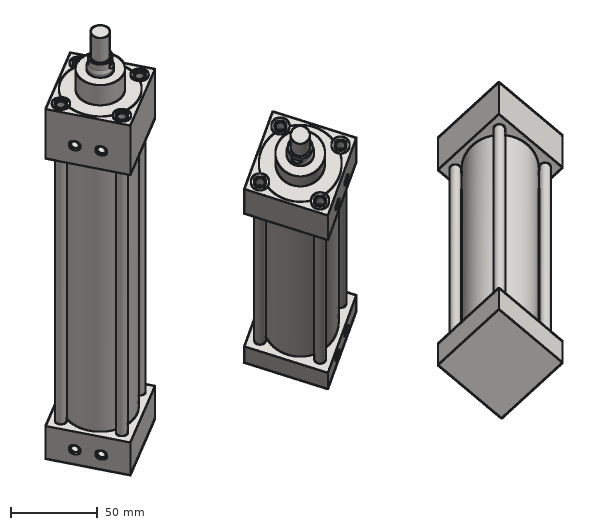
import cadquery as cq
import math

INCH = 25.4

overall_height = 12.375 * INCH

block_side = 2.0 * INCH
rear_block_height = 1.0 * INCH
front_block_bottom = 231.8
front_block_top = 270.2

tube_diameter = 1.75 * INCH
tie_rod_diameter = 6.9
tie_rod_offset = 18.26

boss_diameter = 1.125 * INCH
boss_top = overall_height - 1.125 * INCH
disc_height = 0.2
disc_diameter = 1.875 * INCH

counterbore_diameter = 10.5
counterbore_depth = 0.5
mount_hole_diameter = 5.6
mount_mouth_diameter = 7.1
mount_mouth_depth = 0.75
mount_hole_depth = 12.0

port_diameter = 5.0
port_mouth_diameter = 7.0
port_mouth_depth = 0.8
port_depth = 10.0
port_offset = 0.3125 * INCH
rear_port_height = 11.4
front_port_height = 246.1

drill_point_angle = 118.0

rod_diameter = 0.625 * INCH
neck_diameter = 0.5625 * INCH
flats_width = 0.5 * INCH
thread_diameter = 0.4375 * INCH
thread_length = 0.75 * INCH
neck_length = 0.1875 * INCH
cone_length = 2.8
flat_runout_angle = 35.0

neck_top = overall_height - thread_length
neck_bottom = neck_top - neck_length
cone_bottom = neck_bottom - cone_length


def cylinder(diameter, bottom, top):
    return cq.Workplane("XY", origin=(0, 0, bottom)).circle(diameter / 2).extrude(top - bottom)


def square_block(bottom, top):
    return cq.Workplane("XY", origin=(0, 0, bottom)).rect(block_side, block_side).extrude(top - bottom)


def chamfered_hole(diameter, depth, mouth_diameter, mouth_depth, start, direction):
    """Blind hole with a chamfered mouth and a conical drill point beyond its full-diameter depth."""
    radius = diameter / 2
    point_length = radius / math.tan(math.radians(drill_point_angle / 2))
    start = cq.Vector(*start)
    direction = cq.Vector(*direction)
    mouth = cq.Solid.makeCone(mouth_diameter / 2, radius, mouth_depth, start, direction)
    bore = cq.Solid.makeCylinder(radius, depth, start, direction)
    point = cq.Solid.makeCone(radius, 0, point_length, start + direction * depth, direction)
    return cq.Workplane(bore.fuse(mouth, point))


def make_cylinder_body():
    """End blocks, tube, gland boss and tie rods as one solid."""
    body = square_block(0, rear_block_height)
    body = body.union(square_block(front_block_bottom, front_block_top - disc_height))
    body = body.union(cylinder(tube_diameter, rear_block_height, front_block_bottom))
    body = body.union(cylinder(disc_diameter, front_block_top - disc_height, front_block_top))
    body = body.union(cylinder(boss_diameter, front_block_top, boss_top))

    offsets = (-tie_rod_offset, tie_rod_offset)
    corners = [(x, y) for x in offsets for y in offsets]
    for x, y in corners:
        tie_rod = cylinder(tie_rod_diameter, rear_block_height, front_block_bottom)
        body = body.union(tie_rod.translate((x, y, 0)))
        counterbore = cylinder(counterbore_diameter, front_block_top - counterbore_depth, front_block_top)
        body = body.cut(counterbore.translate((x, y, 0)))
        mount_hole = chamfered_hole(
            mount_hole_diameter, mount_hole_depth, mount_mouth_diameter, mount_mouth_depth,
            (x, y, front_block_top - counterbore_depth), (0, 0, -1),
        )
        body = body.cut(mount_hole)

    for z in (rear_port_height, front_port_height):
        for x in (-port_offset, port_offset):
            port = chamfered_hole(
                port_diameter, port_depth, port_mouth_diameter, port_mouth_depth,
                (x, -block_side / 2, z), (0, 1, 0),
            )
            body = body.cut(port)
    return body


def make_piston_rod():
    """Turned rod standing on the gland boss, with two wrench flats across X that run out below the neck."""
    profile = [
        (0, boss_top),
        (rod_diameter / 2, boss_top),
        (rod_diameter / 2, cone_bottom),
        (neck_diameter / 2, neck_bottom),
        (neck_diameter / 2, neck_top),
        (thread_diameter / 2, neck_top),
        (thread_diameter / 2, overall_height),
        (0, overall_height),
    ]
    rod = cq.Workplane("XZ").polyline(profile).close().revolve(360, (0, 0), (0, 1))
    runout_width = rod_diameter / 2 - flats_width / 2
    runout_length = runout_width / math.tan(math.radians(flat_runout_angle))
    for side in (-1, 1):
        flat = (
            cq.Workplane("XZ")
            .moveTo(side * flats_width / 2, neck_top)
            .lineTo(side * flats_width / 2, neck_bottom)
            .lineTo(side * rod_diameter / 2, neck_bottom - runout_length)
            .lineTo(side * rod_diameter / 2, neck_top)
            .close()
            .extrude(rod_diameter / 2, both=True)
        )
        rod = rod.cut(flat)
    return rod


cylinder_body = make_cylinder_body()
piston_rod = make_piston_rod()
result = cq.Compound.makeCompound([cylinder_body.val(), piston_rod.val()])